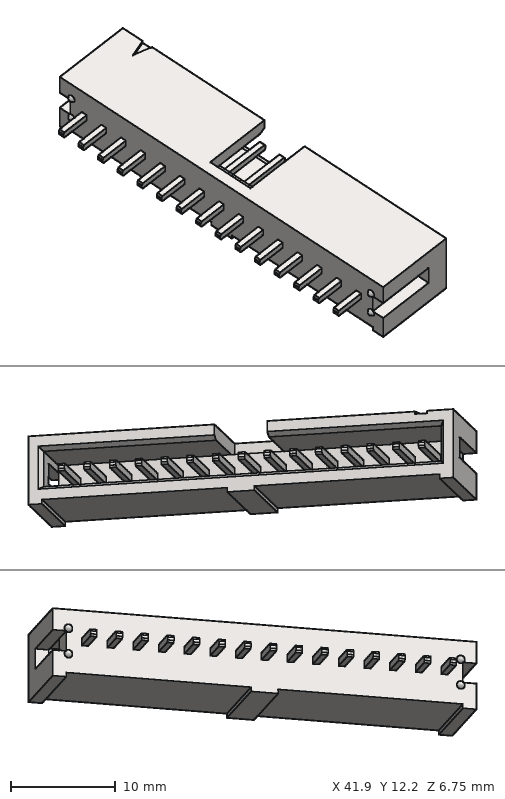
import cadquery as cq
LENGTH = 41.9
DEPTH = 8.93
HEIGHT = 6.75
MID_X = LENGTH / 2

FOOT_HEIGHT = 0.4
END_FOOT_LENGTH = 1.35
MIDDLE_FOOT_LENGTH = 2.7

END_WALL = END_FOOT_LENGTH
SIDE_WALL = 1.42
CAVITY_FLOOR_Y = 2.55
LEAD_IN = 0.63
LEAD_IN_WIDTH = 0.38
MID_Z = (HEIGHT + FOOT_HEIGHT) / 2
CAVITY_LENGTH = LENGTH - 2 * END_WALL
CAVITY_HEIGHT = HEIGHT - FOOT_HEIGHT - 2 * SIDE_WALL

SLOT_HEIGHT = 2.0
SLOT_END_Y = 6.4

WINDOW_LENGTH = 5.2
WINDOW_END_Y = 1.25

PIN_COUNT = 15
PIN_PITCH = 2.54
PIN_WIDTH = 0.63
PIN_HEIGHT = 0.7
PIN_TAIL = 3.25
PIN_END_GAP = 0.25
TIP_LENGTH = 0.13
TIP_DROP = 0.2
FIRST_PIN_X = MID_X - PIN_PITCH * (PIN_COUNT - 1) / 2

MARK_WIDTH = 1.2
MARK_LENGTH = 2.05
MARK_DEPTH = 0.25

DOME_RADIUS = 0.4
DOME_HEIGHT = 0.38
DOME_BULGE = 0.62
DOME_END_OFFSET = 1.55
DOME_SPACING_Z = 2.55


def box(x0, x1, y0, y1, z0, z1):
    return cq.Workplane("XY").box(x1 - x0, y1 - y0, z1 - z0, centered=False).translate((x0, y0, z0))


def cavity():
    block = box(
        END_WALL, LENGTH - END_WALL,
        CAVITY_FLOOR_Y, DEPTH,
        MID_Z - CAVITY_HEIGHT / 2, MID_Z + CAVITY_HEIGHT / 2,
    )
    lead_in = (
        cq.Workplane("XZ", origin=(MID_X, DEPTH, MID_Z))
        .rect(CAVITY_LENGTH + 2 * LEAD_IN_WIDTH, CAVITY_HEIGHT + 2 * LEAD_IN_WIDTH)
        .workplane(offset=LEAD_IN)
        .rect(CAVITY_LENGTH, CAVITY_HEIGHT)
        .loft(ruled=True)
    )
    return block.union(lead_in)


def add_feet(shell):
    foot_spans = [
        (0, END_FOOT_LENGTH),
        (MID_X - MIDDLE_FOOT_LENGTH / 2, MID_X + MIDDLE_FOOT_LENGTH / 2),
        (LENGTH - END_FOOT_LENGTH, LENGTH),
    ]
    for x0, x1 in foot_spans:
        shell = shell.union(box(x0, x1, 0, DEPTH, 0, FOOT_HEIGHT))
    return shell


def cut_end_slots(shell):
    for x0 in (0, LENGTH - END_WALL):
        slot = box(x0, x0 + END_WALL, 0, SLOT_END_Y, MID_Z - SLOT_HEIGHT / 2, MID_Z + SLOT_HEIGHT / 2)
        shell = shell.cut(slot)
    return shell


def keying_window():
    return box(
        MID_X - WINDOW_LENGTH / 2, MID_X + WINDOW_LENGTH / 2,
        WINDOW_END_Y, DEPTH,
        HEIGHT - SIDE_WALL, HEIGHT,
    )


def first_pin_mark():
    return (
        cq.Workplane("XY", origin=(FIRST_PIN_X, DEPTH, HEIGHT - MARK_DEPTH))
        .polyline([(-MARK_WIDTH / 2, 0), (MARK_WIDTH / 2, 0), (0, -MARK_LENGTH)])
        .close()
        .extrude(MARK_DEPTH)
    )


def pointed_dome():
    return (
        cq.Workplane("XY")
        .lineTo(DOME_RADIUS, 0)
        .threePointArc((DOME_BULGE * DOME_RADIUS, -DOME_BULGE * DOME_HEIGHT), (0, -DOME_HEIGHT))
        .close()
        .revolve(360, (0, 0), (0, 1))
    )


def add_domes(shell):
    for x in (DOME_END_OFFSET, LENGTH - DOME_END_OFFSET):
        for z in (MID_Z - DOME_SPACING_Z / 2, MID_Z + DOME_SPACING_Z / 2):
            shell = shell.union(pointed_dome().translate((x, 0, z)))
    return shell


def pin(x):
    tail_y = -PIN_TAIL
    mate_y = DEPTH - PIN_END_GAP
    half = PIN_HEIGHT / 2
    tip = half - TIP_DROP
    profile = [
        (tail_y, -tip), (tail_y + TIP_LENGTH, -half),
        (mate_y - TIP_LENGTH, -half), (mate_y, -tip),
        (mate_y, tip), (mate_y - TIP_LENGTH, half),
        (tail_y + TIP_LENGTH, half), (tail_y, tip),
    ]
    return (
        cq.Workplane("YZ", origin=(x, 0, MID_Z))
        .polyline(profile)
        .close()
        .extrude(PIN_WIDTH / 2, both=True)
    )


housing = add_feet(box(0, LENGTH, 0, DEPTH, FOOT_HEIGHT, HEIGHT))
housing = housing.cut(cavity())
housing = cut_end_slots(housing)
housing = housing.cut(keying_window()).cut(first_pin_mark())
housing = add_domes(housing)
for index in range(PIN_COUNT):
    housing = housing.union(pin(FIRST_PIN_X + index * PIN_PITCH))

result = cq.Compound.makeCompound([housing.val()])